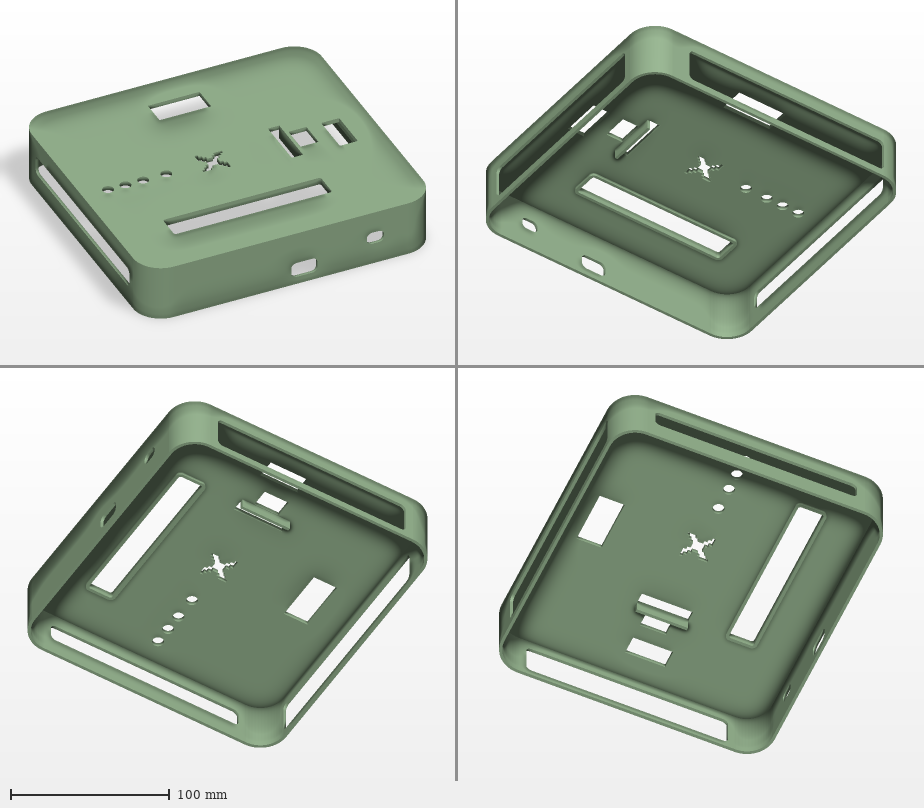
import cadquery as cq

length_x = 188.3
length_y = 201.8
height = 38.8
corner_radius = 19.2
wall = 2.0
top_thickness = 3.0
cut_margin = 2.0

narrow_opening = 17.4
display_opening = (27.7, 12.5, 4.8, 75.7)
switch_opening = (18.0, 12.5, 0, 52.9)
slider_opening = (35.3, 7.9, 0, 40.4)
left_opening = (narrow_opening, 36.0, -63.8, -3.5)
long_opening = (narrow_opening, 109.8, 53.7, -11.3)

fin_bottom_depth = 9.9
fin_thickness = 2.0

rim_depth = 5.0
rim_width = 2.0
long_opening_radius = 1.6

round_hole_diameter = 7.5
round_hole_ys = (-42.5, -58.7, -71.0, -83.2)

pinwheel_cell = 2.0
pinwheel_y = -10.3
pinwheel_arm = [
    (2, -1), (2, 1), (3, 1), (3, 2), (4, 2), (4, 3),
    (5, 3), (5, 4), (2, 4), (2, 3), (1, 3), (1, 2),
]

window_radius = 3.6
large_window_height = 23.6
large_window_z = 16.5
front_window = (139.0, 13.3, 0, height / 2)
back_window = (139.0, large_window_height, 0, large_window_z)
left_window = (150.8, large_window_height, -6.7, large_window_z)
right_windows = [(12.0, 8.5, 58.7, 19.4), (18.2, 10.7, 9.3, 10.7)]


def rounded_prism(size_x, size_y, size_z, radius):
    """Upright prism standing on Z = 0 with rounded vertical edges."""
    block = cq.Workplane("XY").box(size_x, size_y, size_z, centered=(True, True, False))
    return block.edges("|Z").fillet(radius)


def top_cutter(opening, depth):
    """Block that cuts a rectangular opening down from the top face."""
    size_x, size_y, x, y = opening
    block = cq.Workplane("XY").box(size_x, size_y, depth + cut_margin, centered=(True, True, False))
    return block.translate((x, y, height - depth))


def side_window_cutter(window, wall_position, axis):
    """Rounded block that passes through the wall at wall_position on the given axis, "X" or "Y"."""
    width, size_z, along, z = window
    depth = wall + 2 * cut_margin
    if axis == "X":
        size = (depth, width, size_z)
        centre = (wall_position, along, z)
    else:
        size = (width, depth, size_z)
        centre = (along, wall_position, z)
    return cq.Workplane("XY").box(*size).edges("|" + axis).fillet(window_radius).translate(centre)


def pinwheel_outline():
    """Four copies of one arm, each turned a quarter turn anticlockwise."""
    outline = []
    arm = pinwheel_arm
    for _ in range(4):
        outline += arm[:-1]
        arm = [(-y, x) for x, y in arm]
    return [(x * pinwheel_cell, pinwheel_y + y * pinwheel_cell) for x, y in outline]


outer = rounded_prism(length_x, length_y, height, corner_radius)
cavity = rounded_prism(
    length_x - 2 * wall, length_y - 2 * wall, height - top_thickness, corner_radius - wall
)
result = outer.cut(cavity)

rim_x, rim_y, rim_centre_x, rim_centre_y = long_opening
rim = rounded_prism(rim_x + 2 * rim_width, rim_y + 2 * rim_width, rim_depth, long_opening_radius + rim_width)
result = result.union(rim.translate((rim_centre_x, rim_centre_y, height - rim_depth)))

slider_x, slider_y, slider_centre_x, slider_centre_y = slider_opening
fin = cq.Workplane("XY").box(slider_x, fin_thickness, fin_bottom_depth, centered=(True, False, False))
result = result.union(
    fin.translate((slider_centre_x, slider_centre_y + slider_y / 2, height - fin_bottom_depth))
)

for opening in (display_opening, switch_opening, slider_opening, left_opening):
    result = result.cut(top_cutter(opening, top_thickness))
result = result.cut(top_cutter(long_opening, rim_depth).edges("|Z").fillet(long_opening_radius))

top_plane = cq.Workplane("XY").workplane(offset=height)
round_holes = top_plane.pushPoints([(0, y) for y in round_hole_ys]).circle(round_hole_diameter / 2)
result = result.cut(round_holes.extrude(-top_thickness))
result = result.cut(top_plane.polyline(pinwheel_outline()).close().extrude(-top_thickness))

wall_centre_y = (length_y - wall) / 2
result = result.cut(side_window_cutter(front_window, -wall_centre_y, "Y"))
result = result.cut(side_window_cutter(back_window, wall_centre_y, "Y"))

wall_centre_x = (length_x - wall) / 2
result = result.cut(side_window_cutter(left_window, -wall_centre_x, "X"))
for window in right_windows:
    result = result.cut(side_window_cutter(window, wall_centre_x, "X"))